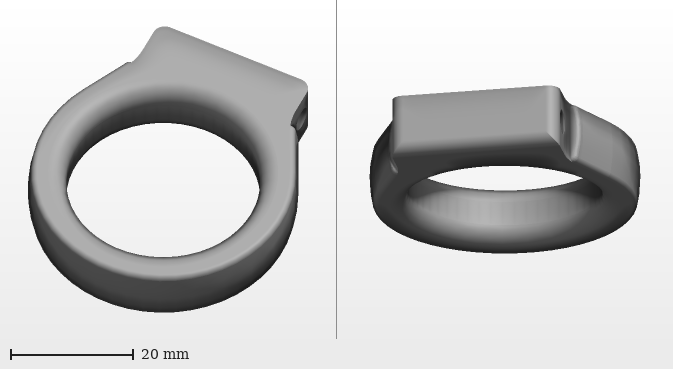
import cadquery as cq
import math

height = 10.0
half_height = height / 2
outer_width = 44.05
outer_radius = outer_width / 2
bore_diameter = 31.5
bore_rounding = 2.95

barrel_radius = 18.5
edge_radius = 0.95
rim_depth = 3.4

tab_half_width = 13.9
overall_length = 48.7
tab_end = overall_length - outer_radius
tab_corner_radius = 2.0
neck_radius = 10.0
neck_start = 20.7
pin_diameter = 4.0
pin_y = 22.8

shoulder_y = 17.85
shoulder_rounding = 0.75

edge_center_z = half_height - edge_radius
edge_center_offset = math.sqrt((barrel_radius - edge_radius) ** 2 - edge_center_z ** 2)
rim_bulge = barrel_radius - edge_center_offset
flat_radius = outer_radius - rim_bulge

neck_x = tab_half_width + neck_radius
neck_distance = math.hypot(neck_x, neck_start)
neck_direction = math.atan2(neck_start, neck_x)
tangent_angle = neck_direction - math.acos((flat_radius + neck_radius) / neck_distance)


def ring_point(growth):
    """Where the circle, grown outward, meets the straight line on the +X side."""
    radius = flat_radius + growth
    return radius * math.cos(tangent_angle), radius * math.sin(tangent_angle)


def neck_point(growth, angle):
    """Point of the +X neck arc of the grown outline; angle 0 is at the tab side."""
    radius = neck_radius - growth
    return neck_x - radius * math.cos(angle), neck_start - radius * math.sin(angle)


def mirrored(point):
    """The matching point on the -X side."""
    return -point[0], point[1]


def side_outline(growth):
    """Open wire from one tab side around the ring to the other tab side."""
    start = neck_point(growth, 0)
    neck_middle = neck_point(growth, tangent_angle / 2)
    neck_end = neck_point(growth, tangent_angle)
    ring_start = ring_point(growth)
    ring_bottom = (0, -(flat_radius + growth))
    return (
        cq.Workplane("XY")
        .moveTo(*start)
        .threePointArc(neck_middle, neck_end)
        .lineTo(*ring_start)
        .threePointArc(ring_bottom, mirrored(ring_start))
        .lineTo(*mirrored(neck_end))
        .threePointArc(mirrored(neck_middle), mirrored(start))
    )


def make_flat_body():
    """Straight-walled ring and tab, with the lower end edge of the tab rounded."""
    body = (
        side_outline(0)
        .lineTo(-tab_half_width, tab_end)
        .lineTo(tab_half_width, tab_end)
        .close()
        .extrude(half_height, both=True)
    )
    rounded_below = body.faces(">Y").edges("<Z").fillet(tab_corner_radius)
    rounded_corners = body.faces(">Y").edges("|Z").fillet(tab_corner_radius)
    return rounded_below.intersect(rounded_corners)


def make_rim():
    """Barrel-shaped rim swept along the outline, ending in rounded shoulders."""
    outer_x = tab_half_width + rim_bulge
    inner_x = outer_x - rim_depth
    edge_x = tab_half_width
    bulge_angle = math.atan2(edge_center_z, edge_center_offset)
    bulge_end_x = edge_x + edge_radius * math.cos(bulge_angle)
    bulge_end_z = edge_center_z + edge_radius * math.sin(bulge_angle)
    edge_middle_angle = (bulge_angle + math.pi / 2) / 2
    edge_middle_x = edge_x + edge_radius * math.cos(edge_middle_angle)
    edge_middle_z = edge_center_z + edge_radius * math.sin(edge_middle_angle)

    profile = (
        cq.Workplane("XZ", origin=(0, neck_start, 0))
        .moveTo(inner_x, -half_height)
        .lineTo(edge_x, -half_height)
        .threePointArc((edge_middle_x, -edge_middle_z), (bulge_end_x, -bulge_end_z))
        .threePointArc((outer_x, 0), (bulge_end_x, bulge_end_z))
        .threePointArc((edge_middle_x, edge_middle_z), (edge_x, half_height))
        .lineTo(inner_x, half_height)
        .close()
    )
    rim = profile.sweep(side_outline(rim_bulge))

    beyond_shoulders = (
        cq.Workplane("XY")
        .box(3 * outer_radius, outer_radius, 2 * height, centered=(True, False, True))
        .translate((0, shoulder_y, 0))
    )
    rim = rim.cut(beyond_shoulders)
    return rim.faces(">Y").edges().fillet(shoulder_rounding)


def make_bore():
    """Cutter for the bore, flaring out to a full rounding at both faces."""
    bore_radius = bore_diameter / 2
    straight_half = half_height - bore_rounding
    flare = bore_rounding * (1 - math.sqrt(0.5))
    mouth_radius = bore_radius + bore_rounding
    return (
        cq.Workplane("XZ")
        .moveTo(0, -half_height)
        .lineTo(mouth_radius, -half_height)
        .threePointArc((bore_radius + flare, flare - half_height), (bore_radius, -straight_half))
        .lineTo(bore_radius, straight_half)
        .threePointArc((bore_radius + flare, half_height - flare), (mouth_radius, half_height))
        .lineTo(0, half_height)
        .close()
        .revolve(360, (0, 0, 0), (0, 1, 0))
    )


def make_pin_hole():
    """Cutter across the tab along X."""
    return (
        cq.Workplane("YZ")
        .center(pin_y, 0)
        .circle(pin_diameter / 2)
        .extrude(2 * tab_half_width, both=True)
    )


result = make_flat_body().union(make_rim()).cut(make_bore()).cut(make_pin_hole())